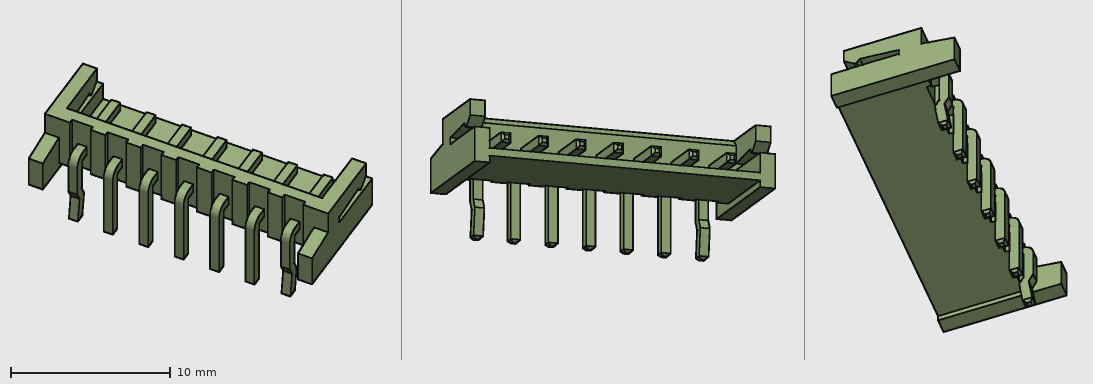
import cadquery as cq
import math


length = 20.0
end_width = 1.0
end_depth = 8.25
end_bottom = -4.25
floor_bottom = -3.8
floor_top = -3.3
wall_front = -4.55
wall_back = -6.05
wall_bevel = 0.42

plate_top = -2.0
foot_root_top = -1.62
arm_front = -0.85
arm_front_bottom = -1.05
hook_tip_bottom = -1.62
hook_tip_front = -1.55
hook_tip_back = -1.7
hook_root_back = -1.92
arm_underside_front = -1.3
arm_underside_back = -1.58

groove_width = 1.45
groove_depth = 0.3

pin_count = 7
pin_pitch = 2.5
pin_size = 0.65
pin_top = -1.88
pin_front = -1.0
pin_back = -7.05
pin_bottom = -7.45
bend_outer_radius = 0.75
bend_inner_radius = bend_outer_radius - pin_size
leg_top = pin_top - bend_outer_radius
tip_taper = 0.18

kink_start = -4.9
kink_end = -5.5
kink_offset = 0.3
kink_tip_offset = 0.05

inner_width = length - 2 * end_width
pin_positions = [(i - (pin_count - 1) / 2) * pin_pitch for i in range(pin_count)]


def extrude_across(profile, x_center, width):
    """Extrude a closed YZ sketch along X, centred on x_center."""
    return profile.extrude(width / 2, both=True).translate((x_center, 0, 0))


def end_plate(x_center):
    profile = (
        cq.Workplane("YZ")
        .moveTo(0, end_bottom)
        .lineTo(0, plate_top)
        .lineTo(wall_front, plate_top)
        .lineTo(wall_front, arm_underside_back)
        .lineTo(hook_root_back, arm_underside_front)
        .lineTo(hook_tip_back, hook_tip_bottom)
        .lineTo(hook_tip_front, hook_tip_bottom)
        .lineTo(arm_front, arm_front_bottom)
        .lineTo(arm_front, 0)
        .lineTo(wall_back, 0)
        .lineTo(wall_back, foot_root_top)
        .lineTo(-end_depth, plate_top)
        .lineTo(-end_depth, end_bottom)
        .close()
    )
    return extrude_across(profile, x_center, end_width)


def floor_and_wall():
    profile = (
        cq.Workplane("YZ")
        .moveTo(0, floor_bottom)
        .lineTo(0, floor_top)
        .lineTo(wall_front, floor_top)
        .lineTo(wall_front, -wall_bevel)
        .lineTo(wall_front - wall_bevel, 0)
        .lineTo(wall_back, 0)
        .lineTo(wall_back, floor_bottom)
        .close()
    )
    return extrude_across(profile, 0, inner_width)


def wall_groove(x_center):
    wall_height = -floor_bottom
    groove = cq.Workplane("XY").box(groove_width, groove_depth, wall_height, centered=(True, False, False))
    return groove.translate((x_center, wall_back, floor_bottom))


def pin_blade():
    """Horizontal contact from its tapered tip back to the start of the bend."""
    blade_length = pin_front - pin_back - bend_outer_radius
    return (
        cq.Workplane("XZ", origin=(0, pin_front - blade_length, pin_top - pin_size / 2))
        .rect(pin_size, pin_size)
        .extrude(-blade_length)
        .faces(">Y")
        .chamfer(tip_taper)
    )


def pin_bend():
    """Quarter-circle elbow between the blade and the leg."""
    diagonal = math.sqrt(0.5)
    profile = (
        cq.Workplane("YZ", origin=(0, pin_back + bend_outer_radius, leg_top))
        .moveTo(-bend_outer_radius, 0)
        .threePointArc(
            (-bend_outer_radius * diagonal, bend_outer_radius * diagonal), (0, bend_outer_radius)
        )
        .lineTo(0, bend_inner_radius)
        .threePointArc(
            (-bend_inner_radius * diagonal, bend_inner_radius * diagonal), (-bend_inner_radius, 0)
        )
        .close()
    )
    return extrude_across(profile, 0, pin_size)


def pin_leg(kinked):
    """Vertical leg with a tapered tip, optionally kinked toward the mating side."""
    leg_front = pin_back + pin_size
    profile = cq.Workplane("YZ").moveTo(leg_front, leg_top).lineTo(pin_back, leg_top)
    tip_offset = 0
    if kinked:
        tip_offset = kink_tip_offset
        profile = profile.lineTo(pin_back, kink_start).lineTo(pin_back + kink_offset, kink_end)
    profile = profile.lineTo(pin_back + tip_offset, pin_bottom).lineTo(leg_front + tip_offset, pin_bottom)
    if kinked:
        profile = profile.lineTo(leg_front + kink_offset, kink_end).lineTo(leg_front, kink_start)
    return extrude_across(profile.close(), 0, pin_size).faces("<Z").chamfer(tip_taper)


def pin(x_center, kinked):
    return pin_blade().union(pin_bend()).union(pin_leg(kinked)).translate((x_center, 0, 0))


housing = floor_and_wall()
for side in (-1, 1):
    housing = housing.union(end_plate(side * (length - end_width) / 2))
for x in pin_positions:
    housing = housing.cut(wall_groove(x))

result = housing
for x in pin_positions:
    result = result.union(pin(x, kinked=x in (pin_positions[0], pin_positions[-1])))